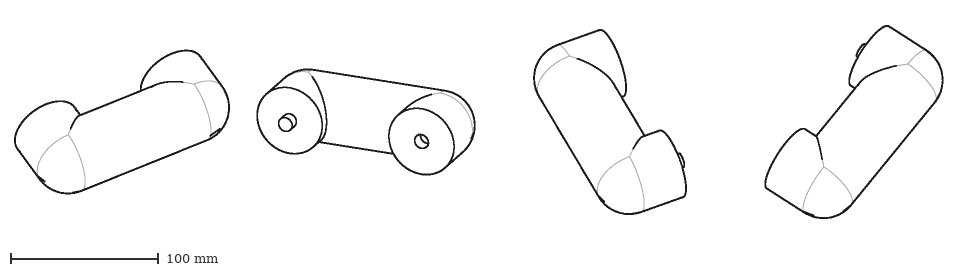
import cadquery as cq

tube_diameter = 48.0
leg_spacing = 97.0
leg_length = 31.5
peg_diameter = 10.0
peg_length = 7.5
socket_diameter = 10.0
socket_depth = 10.0

tube_radius = tube_diameter / 2
leg_end_x = -leg_length
peg_leg_y = leg_spacing / 2
socket_leg_y = -leg_spacing / 2


def cylinder_along_x(diameter, start_x, length, y):
    """Cylinder running in +X from start_x, with its axis at the given Y."""
    plane = cq.Workplane("YZ", origin=(start_x, y, 0))
    return plane.circle(diameter / 2).extrude(length)


def make_grip():
    """Straight round bar along Y joining the two corners."""
    plane = cq.Workplane("XZ", origin=(0, leg_spacing / 2, 0))
    return plane.circle(tube_radius).extrude(leg_spacing)


def make_corner(y):
    """Ball that rounds the outside of the turn from leg to grip."""
    return cq.Workplane("XY", origin=(0, y, 0)).sphere(tube_radius)


body = make_grip()
for leg_y in (peg_leg_y, socket_leg_y):
    body = body.union(cylinder_along_x(tube_diameter, leg_end_x, leg_length, leg_y))
    body = body.union(make_corner(leg_y))

peg = cylinder_along_x(peg_diameter, leg_end_x - peg_length, peg_length, peg_leg_y)
socket = cylinder_along_x(socket_diameter, leg_end_x, socket_depth, socket_leg_y)

result = body.union(peg).cut(socket)